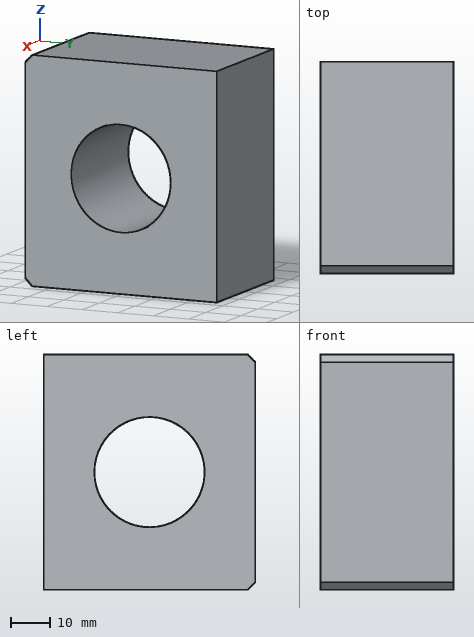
import cadquery as cq

width = 34.0
depth = 54.0
height = 60.0

bore_diameter = 28.0
chamfer_size = 2.0

block = cq.Workplane("XY").box(width, depth, height)

block = block.faces("<Y").edges("|X").chamfer(chamfer_size)

result = block.faces("<X").workplane(centerOption="CenterOfBoundBox").hole(bore_diameter)